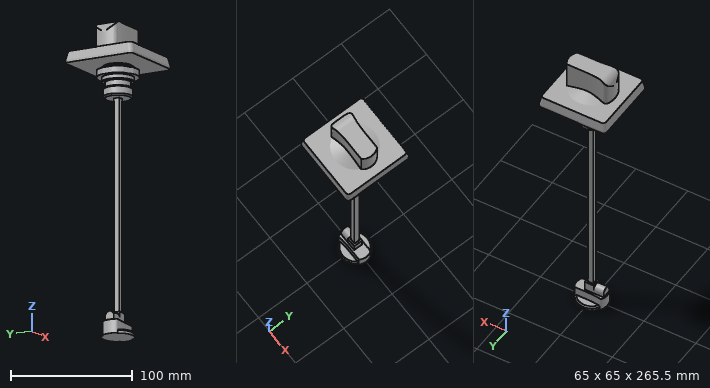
import cadquery as cq
import math

total_height = 265.5
plate_top = 241.0
plate_bevel_bottom = 233.5
plate_bottom = 231.0
seal_bottom = 229.0
nut_top = 226.7
nut_bottom = 221.2
washer_bottom = 217.2
collar_top = 212.5
collar_bottom = 203.6
socket_top = 20.7
foot_top = 12.0

plate_size = 65.0
plate_top_size = 61.9
plate_corner_radius = 3.2

knob_end_radius = 22.3
knob_half_width = 8.2
knob_flare_radius = 77.0
knob_front_rounding = 3.5
knob_back_radius = 12.5
knob_nose_radius = 10.4
cone_radius = 20.5
cone_height = 6.0

neck_radius = 11.0
seal_top_radius = 11.7
seal_radius = 14.0
washer_radius = 13.5
washer_chamfer = 0.5
collar_radius = 12.5
collar_chamfer = 1.3

nut_across_flats = 35.0
nut_corner_radius = 18.0

rod_size = 5.0

foot_end_radius = 15.1
foot_half_width = 6.0
foot_flare_radius = 69.0
foot_front_rounding = 1.9
foot_back_radius = 11.2
disc_radius = 14.0
disc_top_radius = 12.7
disc_edge_height = 2.5
disc_height = 3.7

socket_size = 8.5
arm_reach = 13.8
arm_side_top = 16.0
arm_top = 19.6


def flared_bar(end_radius, half_width, flare_radius, front_rounding, back_radius, bottom, top):
    """Upright bar reaching end_radius from Z at both ends.

    The sides run straight towards +X, where a single arc closes them. Towards -X they flare
    outwards in arcs, and the wide end follows a circle about Z with rounded corners.
    """
    flare_x = -end_radius - front_rounding

    def flare_half_width(x):
        return half_width + flare_radius - math.sqrt(flare_radius**2 - x**2)

    wide_half = flare_half_width(flare_x)
    middle_half = flare_half_width(flare_x / 2)
    back_corner_x = end_radius - back_radius + math.sqrt(back_radius**2 - half_width**2)
    outline = (
        cq.Workplane("XY", origin=(0, 0, bottom))
        .moveTo(0, half_width)
        .threePointArc((flare_x / 2, middle_half), (flare_x, wide_half))
        .lineTo(flare_x, -wide_half)
        .threePointArc((flare_x / 2, -middle_half), (0, -half_width))
        .lineTo(back_corner_x, -half_width)
        .threePointArc((end_radius, 0), (back_corner_x, half_width))
        .close()
    )
    end_cylinder = cq.Workplane("XY", origin=(0, 0, bottom)).circle(end_radius).extrude(top - bottom)
    bar = outline.extrude(top - bottom).intersect(end_cylinder)
    return bar.edges("|Z").edges("<X").fillet(front_rounding)


def revolved(profile):
    """Solid of revolution about Z from (radius, height) points."""
    return cq.Workplane("XZ").polyline(profile).close().revolve(360, (0, 0), (0, 1))


def rounded_square(size, height):
    """Rounded plate outline lifted to a height above its workplane."""
    return cq.Sketch().rect(size, size).vertices().fillet(plate_corner_radius).moved(
        cq.Location(cq.Vector(0, 0, height))
    )


def cover_plate():
    rim = (
        cq.Workplane("XY", origin=(0, 0, plate_bottom))
        .placeSketch(rounded_square(plate_size, 0))
        .extrude(plate_bevel_bottom - plate_bottom)
    )
    bevel = (
        cq.Workplane("XY", origin=(0, 0, plate_bevel_bottom))
        .placeSketch(
            rounded_square(plate_size, 0),
            rounded_square(plate_top_size, plate_top - plate_bevel_bottom),
        )
        .loft()
    )
    return rim.union(bevel)


def knob():
    bar = flared_bar(
        knob_end_radius, knob_half_width, knob_flare_radius,
        knob_front_rounding, knob_back_radius, plate_top, total_height,
    )
    nose_x = knob_nose_radius - knob_end_radius
    nose_z = total_height - knob_nose_radius
    diagonal = knob_nose_radius * math.sqrt(0.5)
    nose_waste = (
        cq.Workplane("XZ")
        .moveTo(nose_x, total_height)
        .threePointArc((nose_x - diagonal, nose_z + diagonal), (-knob_end_radius, nose_z))
        .lineTo(-knob_end_radius, total_height)
        .close()
        .extrude(knob_end_radius, both=True)
    )
    cone = revolved([(0, plate_top), (cone_radius, plate_top), (0, plate_top + cone_height)])
    return bar.cut(nose_waste).union(cone)


def shank():
    """Sealing lip, neck, washer and collar turned in one piece."""
    return revolved([
        (0, plate_bottom),
        (seal_top_radius, plate_bottom),
        (seal_radius, seal_bottom),
        (neck_radius, seal_bottom),
        (neck_radius, nut_bottom),
        (washer_radius, nut_bottom),
        (washer_radius, washer_bottom + washer_chamfer),
        (washer_radius - washer_chamfer, washer_bottom),
        (neck_radius, washer_bottom),
        (neck_radius, collar_top),
        (collar_radius - collar_chamfer, collar_top),
        (collar_radius, collar_top - collar_chamfer),
        (collar_radius, collar_bottom + collar_chamfer),
        (collar_radius - collar_chamfer, collar_bottom),
        (0, collar_bottom),
    ])


def nut():
    thickness = nut_top - nut_bottom
    across_corners = nut_across_flats / math.cos(math.pi / 6)
    base = cq.Workplane("XY", origin=(0, 0, nut_bottom))
    hexagon = base.transformed(rotate=(0, 0, 30)).polygon(6, across_corners).extrude(thickness)
    return hexagon.intersect(base.circle(nut_corner_radius).extrude(thickness))


def rod():
    return (
        cq.Workplane("XY", origin=(0, 0, foot_top))
        .rect(rod_size, rod_size)
        .extrude(plate_bottom - foot_top)
    )


def foot():
    bar = flared_bar(
        foot_end_radius, foot_half_width, foot_flare_radius,
        foot_front_rounding, foot_back_radius, 0, foot_top,
    )
    disc = revolved([
        (0, 0),
        (disc_radius, 0),
        (disc_radius, disc_edge_height),
        (disc_top_radius, disc_height),
        (0, disc_height),
    ])
    return bar.union(disc)


def rod_socket():
    block = (
        cq.Workplane("XY", origin=(0, 0, foot_top))
        .rect(socket_size, socket_size)
        .extrude(socket_top - foot_top)
    )
    half_width = socket_size / 2
    arm = (
        cq.Workplane("YZ", origin=(-arm_reach, 0, 0))
        .moveTo(-half_width, foot_top)
        .lineTo(half_width, foot_top)
        .lineTo(half_width, arm_side_top)
        .threePointArc((0, arm_top), (-half_width, arm_side_top))
        .close()
        .extrude(arm_reach)
    )
    return block.union(arm)


result = cover_plate()
for component in (knob(), shank(), nut(), rod(), foot(), rod_socket()):
    result = result.union(component)